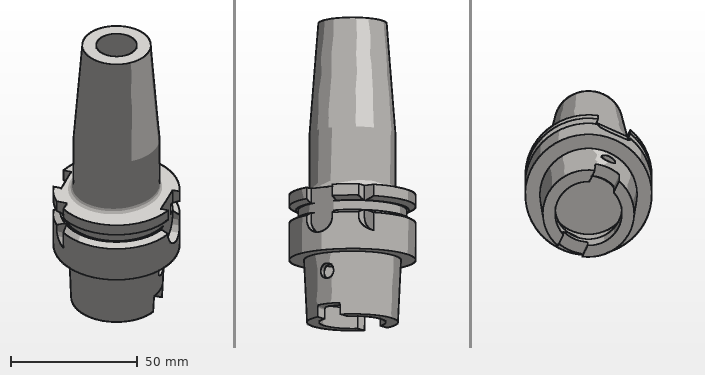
import cadquery as cq
import math

shank_length = 25.0
shank_tip_radius = 18.0
shank_root_radius = 19.2
shank_cavity_radius = 16.3
shank_mouth_radius = 13.2
shank_mouth_length = 8.4

flange_radius = 150 / 6
flange_top = 51.0
groove_center = 43.1
groove_floor_width = 3.8
groove_mouth_width = 6.7
groove_radius = 21.5
groove_step = 0.8

nose_radius = 17.0
nose_blend = 3.0
cone_start = 75.5
nose_tip_radius = 13.5
total_length = 120.0
bore_radius = 8.0
bore_depth = 50.0

keyway_bottom = 32.3
keyway_floor = 21.0
left_keyway_width = 12.0
right_keyway_width = 14.0
notch_floor = 15.4
notch_inner_edge = 15.4

drive_slot_width = 10.5
left_drive_slot_depth = 4.7
right_drive_slot_depth = 7.5
drive_slot_corner = 1.1
cross_hole_radius = 3.0
cross_hole_height = 17.8

cut_reach = 2 * flange_radius


def make_body():
    """Revolve the outer profile about Z."""
    blend_middle = nose_blend * (1 - math.sqrt(0.5))
    profile = (
        cq.Workplane("XZ")
        .lineTo(shank_tip_radius, 0)
        .lineTo(shank_root_radius, shank_length)
        .lineTo(flange_radius, shank_length)
        .lineTo(flange_radius, groove_center - groove_mouth_width / 2)
        .lineTo(groove_radius + groove_step, groove_center - groove_floor_width / 2)
        .lineTo(groove_radius, groove_center - groove_floor_width / 2)
        .lineTo(groove_radius, groove_center + groove_floor_width / 2)
        .lineTo(groove_radius + groove_step, groove_center + groove_floor_width / 2)
        .lineTo(flange_radius, groove_center + groove_mouth_width / 2)
        .lineTo(flange_radius, flange_top)
        .lineTo(nose_radius + nose_blend, flange_top)
        .threePointArc(
            (nose_radius + blend_middle, flange_top + blend_middle),
            (nose_radius, flange_top + nose_blend),
        )
        .lineTo(nose_radius, cone_start)
        .lineTo(nose_tip_radius, total_length)
        .lineTo(0, total_length)
        .close()
    )
    return profile.revolve(360, (0, 0, 0), (0, 1, 0))


def make_bore():
    """Blind tool bore, open at the tip of the nose."""
    bore_floor = total_length - bore_depth
    return cq.Workplane("XY").workplane(offset=bore_floor).circle(bore_radius).extrude(bore_depth)


def make_shank_cavity():
    """Cavity as deep as the shank, with a narrower mouth that opens out through a 45-degree cone."""
    cone_end = shank_mouth_length + shank_cavity_radius - shank_mouth_radius
    profile = (
        cq.Workplane("XZ")
        .lineTo(shank_mouth_radius, 0)
        .lineTo(shank_mouth_radius, shank_mouth_length)
        .lineTo(shank_cavity_radius, cone_end)
        .lineTo(shank_cavity_radius, shank_length)
        .lineTo(0, shank_length)
        .close()
    )
    return profile.revolve(360, (0, 0, 0), (0, 1, 0))


def make_keyway(side, floor, center_y, width):
    """Slot with a round lower end, open outward along X from its flat floor."""
    radius = width / 2
    round_center = keyway_bottom + radius
    outline = (
        cq.Workplane("YZ", origin=(side * floor, 0, 0))
        .moveTo(center_y - radius, flange_top)
        .lineTo(center_y - radius, round_center)
        .threePointArc((center_y, keyway_bottom), (center_y + radius, round_center))
        .lineTo(center_y + radius, flange_top)
        .close()
    )
    return outline.extrude(side * cut_reach)


def make_drive_slot(side, depth):
    """Slot from the axis outward along X, with rounded upper corners."""
    return (
        cq.Workplane("XY")
        .box(cut_reach, drive_slot_width, depth, centered=(True, True, False))
        .edges("|X and >Z")
        .fillet(drive_slot_corner)
        .translate((side * cut_reach / 2, 0, 0))
    )


def make_cross_hole():
    """Round hole along X through both walls of the shank."""
    return (
        cq.Workplane("YZ", origin=(-cut_reach / 2, 0, 0))
        .center(0, cross_hole_height)
        .circle(cross_hole_radius)
        .extrude(cut_reach)
    )


notch_center_y = -notch_inner_edge - left_keyway_width / 2

result = (
    make_body()
    .cut(make_bore())
    .cut(make_shank_cavity())
    .cut(make_keyway(-1, keyway_floor, 0, left_keyway_width))
    .cut(make_keyway(1, keyway_floor, 0, right_keyway_width))
    .cut(make_keyway(-1, notch_floor, notch_center_y, left_keyway_width))
    .cut(make_drive_slot(-1, left_drive_slot_depth))
    .cut(make_drive_slot(1, right_drive_slot_depth))
    .cut(make_cross_hole())
)